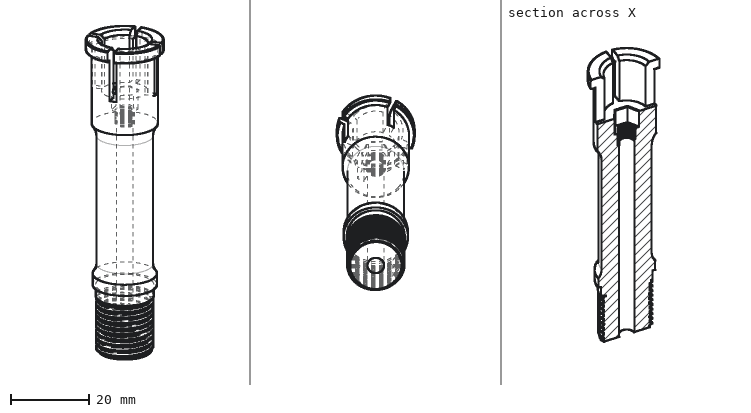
import cadquery as cq
import math

total_height = 85.0
clearance = 0.1

head_diameter = 20.0
head_thickness = 3.0
head_chamfer = 0.25
sleeve_diameter = 17.0
sleeve_bottom = 62.05
slot_width = 1.8
slot_depth = 14.0
bore_diameter = 11.9
bore_chamfer = 1.0

shaft_diameter = 14.5
sleeve_fillet = 5.0
collar_diameter = 16.5
collar_top = 21.1
collar_bottom = 18.0
collar_fillet = 4.0
neck_diameter = 14.9

thread_length = 15.0
thread_turns = 10
thread_crest_diameter = 14.8
thread_root_diameter = 13.2
end_chamfer = (thread_crest_diameter - thread_root_diameter) / 2

crest_flat = 1 / 8
flank_angle = 30
flank_steps = 4

hex_across_flats = 6.0
hex_chamfer = 0.2
hex_depth = 5.1
tap_minor_diameter = 4.25
tap_major_diameter = 5.1
tap_turns = 5
tap_length = 4.0

slot_floor = total_height - slot_depth
head_bottom = total_height - head_thickness
hex_floor = slot_floor - hex_depth


def threaded_rod(root_radius, crest_radius, pitch, turns):
    """Right-hand threaded rod standing on the XY plane, root and crest joined by 60 degree flanks.

    A level cut through the thread has one outline at every height, only turned: a root arc and a
    crest arc joined by two Archimedean spirals. The rod is that outline extruded with a twist.
    """
    depth = crest_radius - root_radius
    flank_turn = 2 * math.pi * depth * math.tan(math.radians(flank_angle)) / pitch
    crest_turn = 2 * math.pi * crest_flat
    crest_start = crest_turn / 2
    root_start = crest_start + flank_turn

    def at(radius, angle):
        return cq.Vector(radius * math.cos(angle), radius * math.sin(angle), 0)

    def arc(radius, start, end):
        return cq.Edge.makeThreePointArc(at(radius, start), at(radius, (start + end) / 2), at(radius, end))

    def spiral(start_radius, end_radius, start):
        stations = [i / flank_steps for i in range(flank_steps + 1)]
        return cq.Edge.makeSpline(
            [at(start_radius + (end_radius - start_radius) * t, start + flank_turn * t) for t in stations]
        )

    outline = cq.Wire.assembleEdges(
        [
            arc(crest_radius, -crest_start, crest_start),
            spiral(crest_radius, root_radius, crest_start),
            arc(root_radius, root_start, 2 * math.pi - root_start),
            spiral(root_radius, crest_radius, -root_start),
        ]
    )
    rod = cq.Solid.extrudeLinearWithRotation(
        outline, [], cq.Vector(0, 0, 0), cq.Vector(0, 0, pitch * turns), 360 * turns
    )
    return cq.Workplane(obj=rod)


def tangent_flare(shaft_radius, end_radius, fillet_radius):
    """Height of a fillet tangent to the shaft and ending at end_radius, and its mid-arc point."""
    sweep_angle = math.acos(1 - (end_radius - shaft_radius) / fillet_radius)
    height = fillet_radius * math.sin(sweep_angle)
    middle_radius = shaft_radius + fillet_radius * (1 - math.cos(sweep_angle / 2))
    middle_height = fillet_radius * math.sin(sweep_angle / 2)
    return height, middle_radius, middle_height


def turned_body():
    """Solid of revolution from the neck up to the head."""
    shaft = shaft_diameter / 2
    sleeve = sleeve_diameter / 2
    collar = collar_diameter / 2
    neck = neck_diameter / 2
    head = head_diameter / 2
    low_height, low_mid_radius, low_mid = tangent_flare(shaft, collar, collar_fillet)
    top_height, top_mid_radius, top_mid = tangent_flare(shaft, sleeve, sleeve_fillet)
    low_tangent = collar_top + low_height
    top_tangent = sleeve_bottom - top_height
    return (
        cq.Workplane("XZ")
        .moveTo(0, thread_length)
        .lineTo(neck, thread_length)
        .lineTo(neck, collar_bottom)
        .lineTo(collar, collar_bottom)
        .lineTo(collar, collar_top)
        .threePointArc((low_mid_radius, low_tangent - low_mid), (shaft, low_tangent))
        .lineTo(shaft, top_tangent)
        .threePointArc((top_mid_radius, top_tangent + top_mid), (sleeve, sleeve_bottom))
        .lineTo(sleeve, head_bottom)
        .lineTo(head - head_chamfer, head_bottom)
        .lineTo(head, head_bottom + head_chamfer)
        .lineTo(head, total_height - head_chamfer)
        .lineTo(head - head_chamfer, total_height)
        .lineTo(0, total_height)
        .close()
        .revolve(360, (0, 0, 0), (0, 1, 0))
    )


def threaded_end():
    """Threaded rod below the neck, chamfered at its lower end."""
    crest = thread_crest_diameter / 2
    rod = threaded_rod(thread_root_diameter / 2, crest, thread_length / thread_turns, thread_turns)
    envelope = (
        cq.Workplane("XY").circle(crest + clearance).extrude(thread_length)
        .faces("<Z").chamfer(end_chamfer + clearance)
    )
    return rod.intersect(envelope)


def bore():
    """Blind bore down to the slot floor, with a chamfered mouth."""
    straight = cq.Workplane("XY").workplane(offset=slot_floor).circle(bore_diameter / 2).extrude(slot_depth)
    mouth = cq.Workplane("XY").add(
        cq.Solid.makeCone(
            bore_diameter / 2, bore_diameter / 2 + bore_chamfer, bore_chamfer,
            pnt=cq.Vector(0, 0, total_height - bore_chamfer),
        )
    )
    return straight.union(mouth)


def cross_slots():
    """Two full-width slots crossing at right angles, which split the head into four fingers."""
    floor = cq.Workplane("XY").workplane(offset=slot_floor)
    along_x = floor.rect(2 * head_diameter, slot_width).extrude(slot_depth)
    along_y = floor.rect(slot_width, 2 * head_diameter).extrude(slot_depth)
    return along_x.union(along_y)


def hexagon(across_flats, z):
    """Hexagon outline at height z with two corners on the Y axis."""
    across_corners = across_flats / math.cos(math.radians(30))
    return cq.Workplane("XY").workplane(offset=z).transformed(rotate=(0, 0, 30)).polygon(6, across_corners)


def hex_socket():
    """Hexagon socket sunk into the bore floor, with a small chamfer at its mouth."""
    socket = hexagon(hex_across_flats, hex_floor).extrude(hex_depth)
    mouth = hexagon(hex_across_flats + 2 * hex_chamfer, slot_floor).extrude(-hex_chamfer, taper=45)
    return socket.union(mouth)


def through_hole():
    """Plain hole at the thread's minor diameter, from the lower end up to the threaded stretch."""
    return cq.Workplane("XY").circle(tap_minor_diameter / 2).extrude(hex_floor - tap_length)


def tapped_hole():
    """Threaded stretch of the hole just below the socket."""
    tap = threaded_rod(tap_minor_diameter / 2, tap_major_diameter / 2, tap_length / tap_turns, tap_turns)
    return tap.translate((0, 0, hex_floor - tap_length))


upper_part = (
    turned_body()
    .cut(bore())
    .cut(cross_slots())
    .cut(hex_socket())
    .cut(through_hole())
    .cut(tapped_hole())
)
lower_part = threaded_end().cut(through_hole())
result = upper_part.union(lower_part).solids()